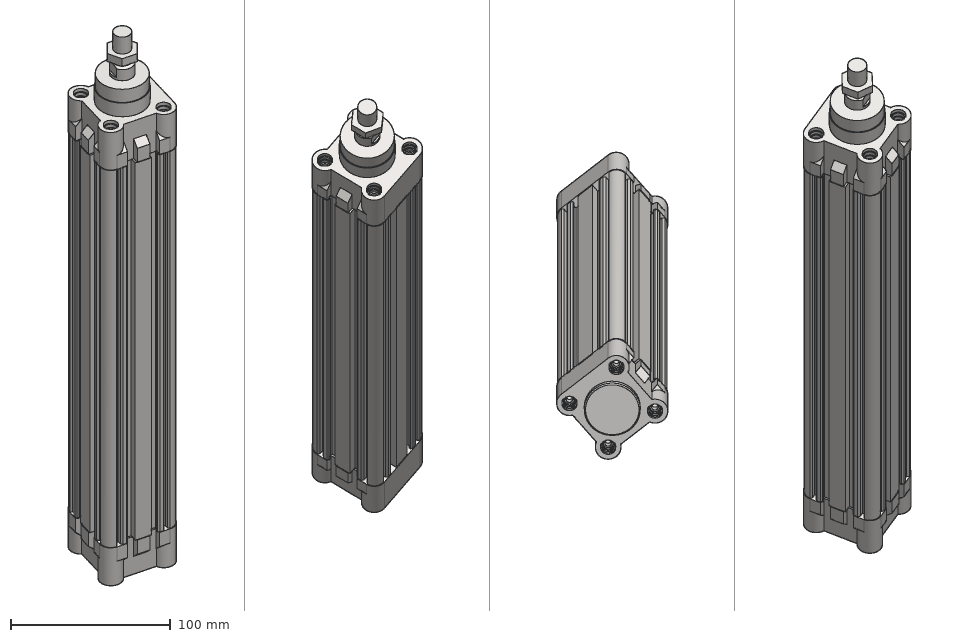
import cadquery as cq
import math

total_height = 413.0
boss_height = 4.0
cap_height = 29.7
front_cap_top = 359.5
collar_step_z = 370.0
collar_top = 380.5
rear_tube_z = boss_height + cap_height
front_tube_z = front_cap_top - cap_height
tube_length = front_tube_z - rear_tube_z

cap_width = 54.0
half_cap = cap_width / 2
corner_diameter = 16.0
corner_offset = half_cap - corner_diameter / 2
recess_depth = 4.5
recessed_face = half_cap - recess_depth
pad_height = 11.0
pad_inner_edge = 11.5
rib_width = 9.0

screw_steps = [(9.5, 2.5), (8.0, 5.0), (6.0, 7.5), (4.0, 12.5)]
drill_point_angle = 118.0

boss_diameter = 35.0
collar_diameter = 35.0
collar_top_diameter = 34.0
boss_chamfer = 1.0

tube_width = 53.3
half_tube = tube_width / 2
tube_corner_radius = half_tube - corner_offset
slot_inner_edge = 5.8
slot_outer_edge = 10.7
slot_depth = 5.5
lip_overhang = 1.2
lip_chamfer_depth = 1.0
lip_thickness = 2.0
groove_centre = 17.0
groove_width = 2.5
groove_mouth_width = 5.0
groove_depth = 4.0

rod_diameter = 16.0
thread_diameter = 12.0
shoulder_z = 390.3
shoulder_chamfer_height = 1.2
flats_bottom_z = 382.5
across_flats = 13.2

nut_across_flats = 19.0
nut_bottom_z = 393.5
nut_height = 6.0

sides = (0, 90, 180, 270)
recessed_sides = (0, 90, 270)


def turned(shape, angle):
    """Turn a shape about the cylinder axis."""
    return shape.rotate((0, 0, 0), (0, 0, 1), angle)


def sloped_pad(x_start, x_end):
    """Pad on the -Y side, flush with the cap's outer face, its top rising at 45 degrees to the inside."""
    inner_y = -corner_offset
    slope_rise = half_cap - corner_offset
    return (
        cq.Workplane("YZ", origin=(x_start, 0, 0))
        .moveTo(inner_y, 0)
        .lineTo(-half_cap, 0)
        .lineTo(-half_cap, pad_height)
        .lineTo(inner_y, pad_height + slope_rise)
        .close()
        .extrude(x_end - x_start)
    )


def screw_hole():
    """Stepped cutter going down from the origin, with a drill point at its end."""
    last_diameter, last_depth = screw_steps[-1]
    point_length = last_diameter / 2 / math.tan(math.radians(drill_point_angle / 2))
    outline = cq.Workplane("XZ").moveTo(0, 0)
    start_depth = 0
    for diameter, depth in screw_steps:
        outline = outline.lineTo(diameter / 2, -start_depth).lineTo(diameter / 2, -depth)
        start_depth = depth
    outline = outline.lineTo(0, -last_depth - point_length).close()
    return outline.revolve(360, (0, 0, 0), (0, 1, 0))


def end_cap():
    """Cap with its tube face at Z = 0 and its screw face upward; the +Y side is flat."""
    cap = (
        cq.Workplane("XY")
        .rect(2 * recessed_face, 2 * recessed_face)
        .extrude(cap_height)
    )
    corners = (
        cq.Workplane("XY")
        .rect(2 * corner_offset, 2 * corner_offset, forConstruction=True)
        .vertices()
    )
    cap = cap.union(corners.circle(corner_diameter / 2).extrude(cap_height))
    flat_side = cq.Workplane("XY").box(
        2 * corner_offset, half_cap, cap_height, centered=(True, False, False)
    )
    cap = cap.union(flat_side)
    for angle in recessed_sides:
        cap = cap.union(turned(sloped_pad(-corner_offset, -pad_inner_edge), angle))
        cap = cap.union(turned(sloped_pad(-rib_width / 2, rib_width / 2), angle))
        cap = cap.union(turned(sloped_pad(pad_inner_edge, corner_offset), angle))
    for x in (-corner_offset, corner_offset):
        for y in (-corner_offset, corner_offset):
            cap = cap.cut(screw_hole().translate((x, y, cap_height)))
    return cap


def tube_side_cuts():
    """The two slots beside the centre rib and the two sensor grooves of the -Y side."""
    slot_wall = slot_outer_edge + lip_overhang
    slot = (
        cq.Workplane("XY")
        .moveTo(slot_inner_edge, -half_tube)
        .lineTo(slot_wall, -half_tube)
        .lineTo(slot_outer_edge, -half_tube + lip_chamfer_depth)
        .lineTo(slot_outer_edge, -half_tube + lip_thickness)
        .lineTo(slot_wall, -half_tube + lip_thickness)
        .lineTo(slot_wall, -half_tube + slot_depth)
        .lineTo(slot_inner_edge, -half_tube + slot_depth)
        .close()
        .extrude(tube_length)
    )
    mouth_slope = (groove_mouth_width - groove_width) / 2
    groove_left = groove_centre - groove_width / 2
    groove_right = groove_centre + groove_width / 2
    groove = (
        cq.Workplane("XY")
        .moveTo(groove_left - mouth_slope, -half_tube)
        .lineTo(groove_right + mouth_slope, -half_tube)
        .lineTo(groove_right, -half_tube + mouth_slope)
        .lineTo(groove_right, -half_tube + groove_depth)
        .lineTo(groove_left, -half_tube + groove_depth)
        .lineTo(groove_left, -half_tube + mouth_slope)
        .close()
        .extrude(tube_length)
    )
    one_half = slot.union(groove)
    return one_half.union(one_half.mirror("YZ"))


def profile_tube():
    """Square tube section with rounded corners, its lower end at Z = 0."""
    tube = (
        cq.Workplane("XY")
        .rect(tube_width, tube_width)
        .extrude(tube_length)
        .edges("|Z")
        .fillet(tube_corner_radius)
    )
    for angle in sides:
        tube = tube.cut(turned(tube_side_cuts(), angle))
    return tube


def make_housing():
    """Profile tube, both end caps, the rear boss and the front collar, with a socket for the rod."""
    front_cap = end_cap().translate((0, 0, front_tube_z))
    rear_cap = end_cap().mirror("XY").translate((0, 0, rear_tube_z))
    tube = profile_tube().translate((0, 0, rear_tube_z))
    boss = (
        cq.Workplane("XY")
        .circle(boss_diameter / 2)
        .extrude(boss_height)
        .faces("<Z")
        .chamfer(boss_chamfer)
    )
    collar = (
        cq.Workplane("XY", origin=(0, 0, front_cap_top))
        .circle(collar_diameter / 2)
        .extrude(collar_step_z - front_cap_top)
        .faces(">Z")
        .workplane()
        .circle(collar_top_diameter / 2)
        .extrude(collar_top - collar_step_z)
    )
    rod_socket = (
        cq.Workplane("XY", origin=(0, 0, front_cap_top))
        .circle(rod_diameter / 2)
        .extrude(collar_top - front_cap_top)
    )
    return tube.union(rear_cap).union(front_cap).union(boss).union(collar).cut(rod_socket)


def make_rod():
    """Piston rod with two wrench flats facing +Y and -Y and a thinner threaded end."""
    rod = (
        cq.Workplane("XY", origin=(0, 0, front_cap_top))
        .circle(rod_diameter / 2)
        .extrude(shoulder_z - front_cap_top)
        .faces(">Z")
        .chamfer(shoulder_chamfer_height, (rod_diameter - thread_diameter) / 2)
    )
    flat_cutter = cq.Workplane("XY", origin=(0, across_flats / 2, flats_bottom_z)).box(
        rod_diameter, rod_diameter, shoulder_z - flats_bottom_z, centered=(True, False, False)
    )
    rod = rod.cut(flat_cutter).cut(flat_cutter.mirror("XZ"))
    thread = (
        cq.Workplane("XY", origin=(0, 0, shoulder_z))
        .circle(thread_diameter / 2)
        .extrude(total_height - shoulder_z)
    )
    return rod.union(thread)


def make_nut():
    """Hexagon nut with corners toward +Y and -Y."""
    across_corners = nut_across_flats / math.cos(math.radians(30))
    nut = (
        cq.Workplane("XY", origin=(0, 0, nut_bottom_z))
        .polygon(6, across_corners)
        .extrude(nut_height)
    )
    bore = (
        cq.Workplane("XY", origin=(0, 0, nut_bottom_z))
        .circle(thread_diameter / 2)
        .extrude(nut_height)
    )
    return turned(nut, 90).cut(bore)


housing = make_housing().solids()
piston_rod = make_rod().solids()
lock_nut = make_nut().solids()

result = cq.Compound.makeCompound([*housing.vals(), *piston_rod.vals(), *lock_nut.vals()])